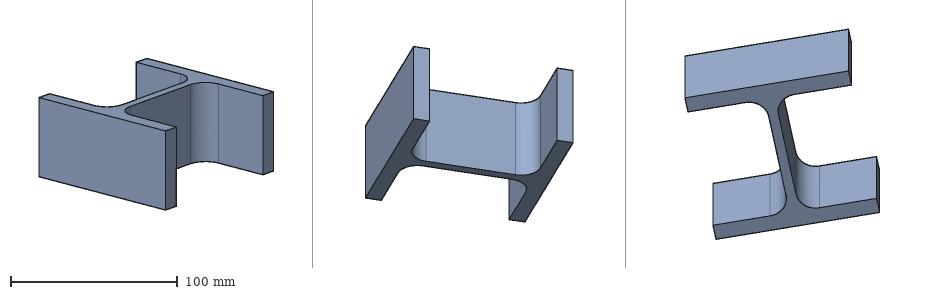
import cadquery as cq

flange_width = 100.0
section_depth = 100.0
beam_length = 50.0
flange_thickness = 10.0
web_thickness = 6.0
root_radius = 12.0

web_height = section_depth - 2 * flange_thickness


def make_flange(side):
    """Flat flange at the +Y (side=1) or -Y (side=-1) end of the web."""
    center_y = side * (section_depth - flange_thickness) / 2
    return (
        cq.Workplane("XY")
        .center(0, center_y)
        .rect(flange_width, flange_thickness)
        .extrude(beam_length)
    )


web = cq.Workplane("XY").rect(web_thickness, web_height).extrude(beam_length)
beam = web.union(make_flange(1)).union(make_flange(-1))

root_corners = cq.selectors.BoxSelector(
    (-web_thickness, -section_depth / 2 + flange_thickness / 2, 0),
    (web_thickness, section_depth / 2 - flange_thickness / 2, beam_length),
)
result = beam.edges("|Z").edges(root_corners).fillet(root_radius)